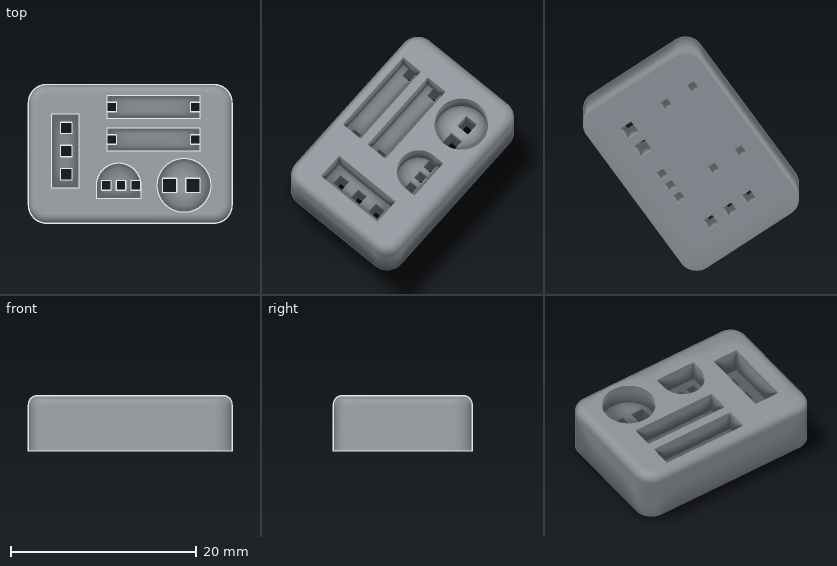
import cadquery as cq

LENGTH = 22.0
WIDTH = 15.0
HEIGHT = 6.0
CORNER_RADIUS = 2.0
TOP_EDGE_RADIUS = 1.0

POCKET_DEPTH = 2.5

SLOT_LENGTH = 10.0
SLOT_WIDTH = 2.5
SLOT_CENTER_X = 2.5
SLOT_CENTERS_Y = (1.55, 5.05)
SLOT_HOLE_SIZE = 1.0
SLOT_HOLE_COUNT = 2

UPRIGHT_LENGTH_X = 3.0
UPRIGHT_LENGTH_Y = 8.0
UPRIGHT_DEPTH = 3.0
UPRIGHT_CENTER = (-7.0, 0.3)
UPRIGHT_HOLE_SIZE = 1.2
UPRIGHT_HOLE_COUNT = 3
UPRIGHT_HOLE_PITCH = 2.5
UPRIGHT_HOLES_X = -6.9

LOWER_ROW_Y = -3.4

D_RADIUS = 2.4
D_CENTER_X = -1.25
D_FLAT_OFFSET = 1.4
D_HOLE_SIZE = 1.0
D_HOLE_COUNT = 3
D_HOLE_PITCH = 1.6
D_HOLES_CENTER_X = -1.0

ROUND_RADIUS = 2.9
ROUND_CENTER_X = 5.8
ROUND_HOLE_SIZE = 1.5
ROUND_HOLE_COUNT = 2
ROUND_HOLE_PITCH = 2.5
ROUND_HOLES_CENTER_X = 5.5


def make_block():
    """Rounded block standing on Z = 0 with a filleted top rim."""
    block = cq.Workplane("XY").box(LENGTH, WIDTH, HEIGHT, centered=(True, True, False))
    block = block.edges("|Z").fillet(CORNER_RADIUS)
    return block.faces(">Z").edges().fillet(TOP_EDGE_RADIUS)


def floor_plane(depth):
    """Workplane at a pocket floor, the given depth below the top face."""
    return cq.Workplane("XY", origin=(0, 0, HEIGHT - depth))


def rectangular_pocket(center, length_x, length_y, depth):
    return floor_plane(depth).center(*center).rect(length_x, length_y).extrude(depth)


def lead_holes(centers, size, depth):
    """Square holes from a pocket floor at the given depth through the underside."""
    return floor_plane(depth).pushPoints(centers).rect(size, size).extrude(depth - HEIGHT)


def centered_positions(center, pitch, count):
    """Evenly spaced coordinates, symmetric about the center."""
    first = center - pitch * (count - 1) / 2
    return [first + pitch * i for i in range(count)]


def cut_slots(body):
    hole_pitch = (SLOT_LENGTH - SLOT_HOLE_SIZE) / (SLOT_HOLE_COUNT - 1)
    holes_x = centered_positions(SLOT_CENTER_X, hole_pitch, SLOT_HOLE_COUNT)
    for slot_y in SLOT_CENTERS_Y:
        center = (SLOT_CENTER_X, slot_y)
        body = body.cut(rectangular_pocket(center, SLOT_LENGTH, SLOT_WIDTH, POCKET_DEPTH))
        holes = [(x, slot_y) for x in holes_x]
        body = body.cut(lead_holes(holes, SLOT_HOLE_SIZE, POCKET_DEPTH))
    return body


def cut_upright_pocket(body):
    pocket = rectangular_pocket(UPRIGHT_CENTER, UPRIGHT_LENGTH_X, UPRIGHT_LENGTH_Y, UPRIGHT_DEPTH)
    body = body.cut(pocket)
    holes_y = centered_positions(UPRIGHT_CENTER[1], UPRIGHT_HOLE_PITCH, UPRIGHT_HOLE_COUNT)
    holes = [(UPRIGHT_HOLES_X, y) for y in holes_y]
    return body.cut(lead_holes(holes, UPRIGHT_HOLE_SIZE, UPRIGHT_DEPTH))


def cut_d_pocket(body):
    left = D_CENTER_X - D_RADIUS
    right = D_CENTER_X + D_RADIUS
    flat_y = LOWER_ROW_Y - D_FLAT_OFFSET
    pocket = (
        floor_plane(POCKET_DEPTH)
        .moveTo(left, flat_y)
        .lineTo(right, flat_y)
        .lineTo(right, LOWER_ROW_Y)
        .threePointArc((D_CENTER_X, LOWER_ROW_Y + D_RADIUS), (left, LOWER_ROW_Y))
        .close()
        .extrude(POCKET_DEPTH)
    )
    holes_x = centered_positions(D_HOLES_CENTER_X, D_HOLE_PITCH, D_HOLE_COUNT)
    holes = [(x, LOWER_ROW_Y) for x in holes_x]
    return body.cut(pocket).cut(lead_holes(holes, D_HOLE_SIZE, POCKET_DEPTH))


def cut_round_pocket(body):
    pocket = (
        floor_plane(POCKET_DEPTH)
        .center(ROUND_CENTER_X, LOWER_ROW_Y)
        .circle(ROUND_RADIUS)
        .extrude(POCKET_DEPTH)
    )
    holes_x = centered_positions(ROUND_HOLES_CENTER_X, ROUND_HOLE_PITCH, ROUND_HOLE_COUNT)
    holes = [(x, LOWER_ROW_Y) for x in holes_x]
    return body.cut(pocket).cut(lead_holes(holes, ROUND_HOLE_SIZE, POCKET_DEPTH))


result = make_block()
result = cut_slots(result)
result = cut_upright_pocket(result)
result = cut_d_pocket(result)
result = cut_round_pocket(result)